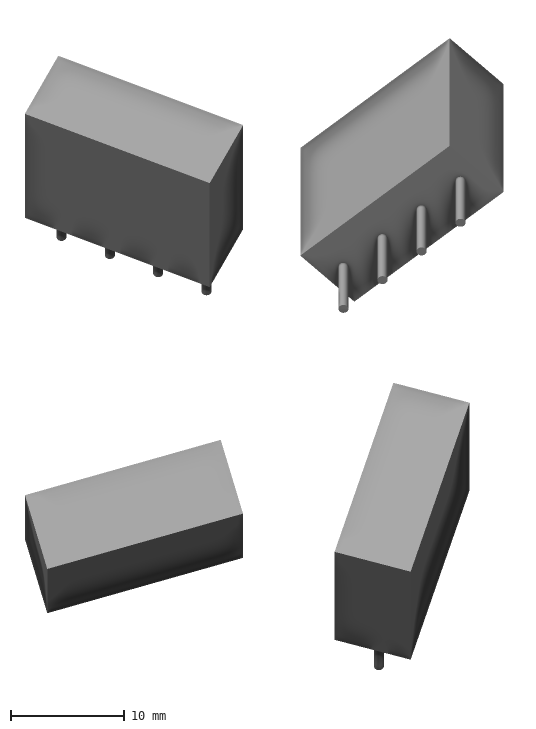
import cadquery as cq

HOUSING_LENGTH = 18.0
HOUSING_DEPTH = 7.02
TOTAL_HEIGHT = 21.6

PIN_DIAMETER = 0.89
PIN_LENGTH = 6.07
PIN_PITCH = 4.7
PIN_COUNT = 4

HOUSING_HEIGHT = TOTAL_HEIGHT - PIN_LENGTH


def pin_x(index):
    """X of a pin, with the row centred on the housing."""
    return (index - (PIN_COUNT - 1) / 2) * PIN_PITCH


def make_housing():
    """Plain rectangular block standing on Z = 0."""
    return cq.Workplane("XY").box(
        HOUSING_LENGTH, HOUSING_DEPTH, HOUSING_HEIGHT, centered=(True, True, False)
    )


def make_pin(index):
    """Round pin hanging from the underside of the housing."""
    return (
        cq.Workplane("XY")
        .center(pin_x(index), 0)
        .circle(PIN_DIAMETER / 2)
        .extrude(-PIN_LENGTH)
    )


housing = make_housing().union(make_pin(0))
pins = [make_pin(index) for index in range(1, PIN_COUNT)]

result = cq.Compound.makeCompound([housing.solids().val(), *[pin.val() for pin in pins]])